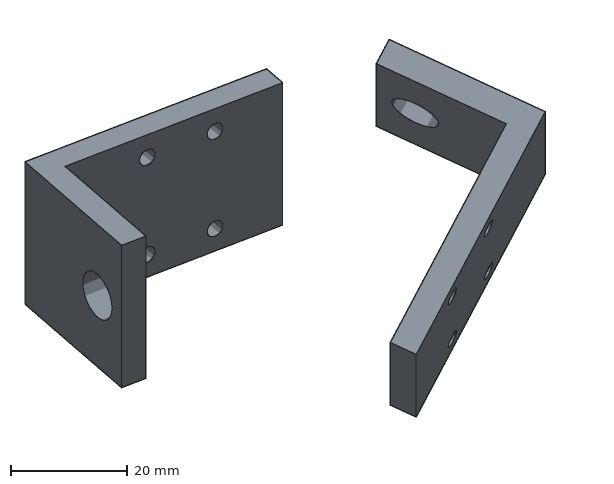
import cadquery as cq

width = 30.0
length = 50.0
height = 30.0
thickness = 5.0

large_hole_diameter = 9.0
large_hole_x = 22.5

mount_hole_diameter = 3.2
mount_pattern_center_y = 29.0
mount_spacing_y = 14.0
mount_spacing_z = 20.5

long_leg = cq.Workplane("XY").box(thickness, length, height, centered=False)
short_leg = cq.Workplane("XY").box(width, thickness, height, centered=False)
bracket = long_leg.union(short_leg)

large_hole = (
    cq.Workplane("XZ")
    .center(large_hole_x, height / 2)
    .circle(large_hole_diameter / 2)
    .extrude(-thickness)
)

mount_holes = (
    cq.Workplane("YZ")
    .center(mount_pattern_center_y, height / 2)
    .rarray(mount_spacing_y, mount_spacing_z, 2, 2)
    .circle(mount_hole_diameter / 2)
    .extrude(thickness)
)

result = bracket.cut(large_hole).cut(mount_holes)